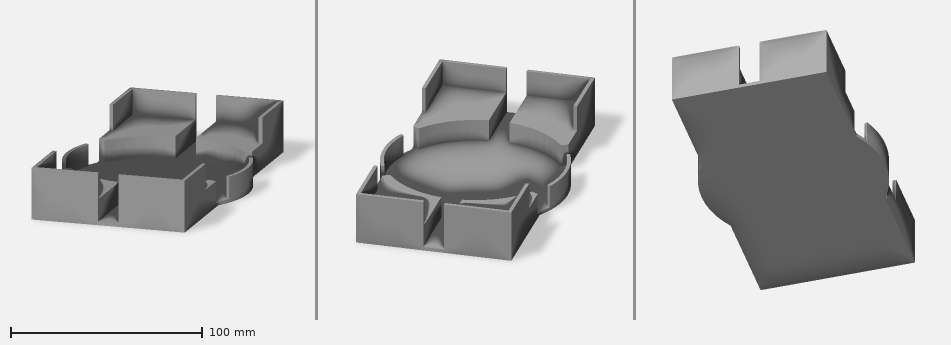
import cadquery as cq

length = 167.0
block_width = 84.0
disc_diameter = 99.9
wall = 2.0
base_thickness = 2.0
shelf_height = 14.0
full_height = 28.0
slot_width = 11.2
slot_angles = (0, 60, 120)

disc_radius = disc_diameter / 2
bowl_radius = disc_radius - wall
tray_depth = length / 2 - bowl_radius


def lower_body():
    """Rectangular block merged with a round disc, up to the shelf height."""
    block = cq.Workplane("XY").box(block_width, length, shelf_height, centered=(True, True, False))
    disc = cq.Workplane("XY").circle(disc_radius).extrude(shelf_height)
    return block.union(disc)


def end_wall(side):
    """U-shaped wall standing on the shelf at one end, open toward the bowl."""
    wall_height = full_height - shelf_height
    outer_center = side * (length - tray_depth) / 2
    inner_center = outer_center - side * wall
    outer = (
        cq.Workplane("XY", origin=(0, outer_center, shelf_height))
        .box(block_width, tray_depth, wall_height, centered=(True, True, False))
    )
    inner = (
        cq.Workplane("XY", origin=(0, inner_center, shelf_height))
        .box(block_width - 2 * wall, tray_depth, wall_height, centered=(True, True, False))
    )
    return outer.cut(inner)


def bowl():
    """Round central recess above the base."""
    return cq.Workplane("XY", origin=(0, 0, base_thickness)).circle(bowl_radius).extrude(full_height)


def slot(angle):
    """Straight channel through the centre, cut down to the base."""
    return (
        cq.Workplane("XY", origin=(0, 0, base_thickness))
        .box(slot_width, length, full_height, centered=(True, True, False))
        .rotate((0, 0, 0), (0, 0, 1), angle)
    )


result = lower_body()
for side in (-1, 1):
    result = result.union(end_wall(side))
result = result.cut(bowl())
for angle in slot_angles:
    result = result.cut(slot(angle))